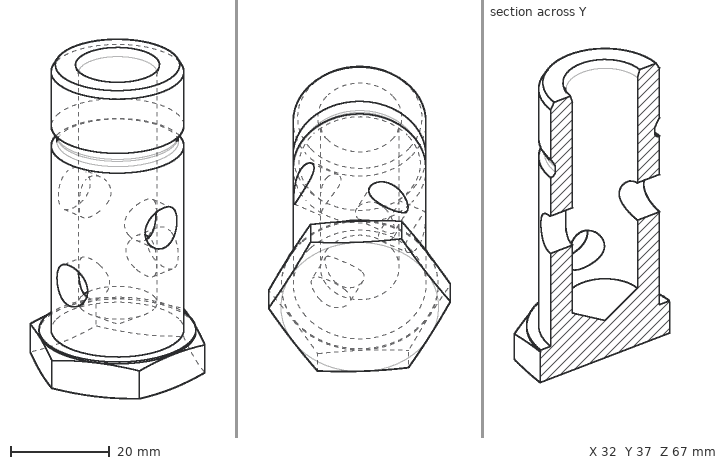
import cadquery as cq
import math

total_height = 67.0
shank_diameter = 27.0
shank_top = 49.0

thread_diameter = 27.0
thread_bottom = 53.4
tip_chamfer_width = 0.9
thread_chamfer_angle = math.radians(30)

groove_diameter = 24.7
groove_fillet = 1.0

head_height = 8.0
across_flats = 32.0
head_sides = 6
corner_turn = 30
washer_diameter = 31.9
washer_height = 0.4
head_chamfer_angle = math.radians(15)

bore_diameter = 16.0
bore_shoulder = 14.0
drill_point_angle = math.radians(118)
mouth_diameter = 17.1
mouth_depth = 1.75

cross_hole_diameter = 9.0
lower_hole_height = 22.0
upper_hole_height = 35.05


def make_head():
    """Hexagon with corners on the Y axis, trimmed by cones at both ends."""
    corner_radius = across_flats / math.sqrt(3)
    flat_radius = across_flats / 2
    washer_radius = washer_diameter / 2
    washer_bottom = head_height - washer_height
    slope = math.tan(head_chamfer_angle)
    lower_drop = (corner_radius - flat_radius) * slope
    upper_drop = (corner_radius - washer_radius) * slope
    hexagon = (
        cq.Workplane("XY")
        .polygon(head_sides, 2 * corner_radius)
        .extrude(head_height)
        .rotate((0, 0, 0), (0, 0, 1), corner_turn)
    )
    envelope = (
        cq.Workplane("XZ")
        .lineTo(flat_radius, 0)
        .lineTo(corner_radius, lower_drop)
        .lineTo(corner_radius, washer_bottom - upper_drop)
        .lineTo(washer_radius, washer_bottom)
        .lineTo(washer_radius, head_height)
        .lineTo(0, head_height)
        .close()
        .revolve(360, (0, 0, 0), (0, 1, 0))
    )
    return hexagon.intersect(envelope)


def make_stem():
    """Shank, relief groove and chamfered threaded end as one turned profile."""
    shank_radius = shank_diameter / 2
    thread_radius = thread_diameter / 2
    groove_radius = groove_diameter / 2
    axial_per_radial = 1 / math.tan(thread_chamfer_angle)
    tip_chamfer_height = tip_chamfer_width * axial_per_radial
    cone_bottom = thread_bottom - (thread_radius - groove_radius) * axial_per_radial

    half_angle = thread_chamfer_angle / 2
    tangent_length = groove_fillet * math.tan(half_angle)
    fillet_center_x = groove_radius + groove_fillet
    fillet_start = cone_bottom - tangent_length

    def upper_fillet_point(angle):
        return (
            fillet_center_x - groove_fillet * math.cos(angle),
            fillet_start + groove_fillet * math.sin(angle),
        )

    lower_fillet_middle = (
        fillet_center_x - groove_fillet * math.cos(math.pi / 4),
        shank_top + groove_fillet * (1 - math.sin(math.pi / 4)),
    )
    return (
        cq.Workplane("XZ")
        .lineTo(shank_radius, 0)
        .lineTo(shank_radius, shank_top)
        .lineTo(fillet_center_x, shank_top)
        .threePointArc(lower_fillet_middle, (groove_radius, shank_top + groove_fillet))
        .lineTo(groove_radius, fillet_start)
        .threePointArc(upper_fillet_point(half_angle), upper_fillet_point(thread_chamfer_angle))
        .lineTo(thread_radius, thread_bottom)
        .lineTo(thread_radius, total_height - tip_chamfer_height)
        .lineTo(thread_radius - tip_chamfer_width, total_height)
        .lineTo(0, total_height)
        .close()
        .revolve(360, (0, 0, 0), (0, 1, 0))
    )


def make_bore():
    """Cutting body of the blind bore."""
    bore_radius = bore_diameter / 2
    point_height = bore_radius / math.tan(drill_point_angle / 2)
    return (
        cq.Workplane("XZ")
        .moveTo(0, bore_shoulder - point_height)
        .lineTo(bore_radius, bore_shoulder)
        .lineTo(bore_radius, total_height - mouth_depth)
        .lineTo(mouth_diameter / 2, total_height)
        .lineTo(0, total_height)
        .close()
        .revolve(360, (0, 0, 0), (0, 1, 0))
    )


def make_cross_hole(plane, height):
    """Cutting cylinder through the whole stem, normal to the given plane."""
    return (
        cq.Workplane(plane)
        .center(0, height)
        .circle(cross_hole_diameter / 2)
        .extrude(shank_diameter, both=True)
    )


result = (
    make_head()
    .union(make_stem())
    .cut(make_bore())
    .cut(make_cross_hole("XZ", lower_hole_height))
    .cut(make_cross_hole("YZ", upper_hole_height))
)